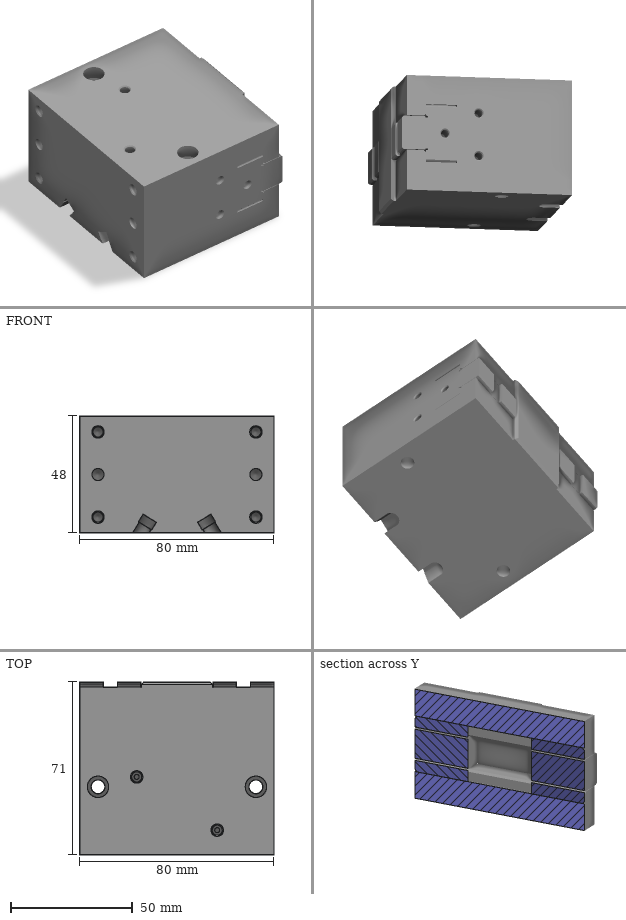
import cadquery as cq
import math


length_x = 80.0
height_z = 48.0
joint_y = 61.0
plate_top_y = 69.0
cover_seat_top_y = 69.4
top_y = 71.0

slot_floor_y = 48.0
slot_width = 24.2
plate_gap_width = 14.4
plate_gap_chamfer = 0.9

jaw_length = 25.1
neck_width = 13.9
neck_edge_chamfer = 0.6
flange_edge_chamfer = 0.8
flange_end_chamfer = 1.0
undercut_width = 1.1
undercut_depth = 0.5
undercut_overlap = 0.2
undercut_top_y = joint_y + undercut_overlap
key_groove_start = 9.8
key_groove_width = 5.8
jaw_hole_y = 53.0

cover_end_gap = 0.2
cover_length = length_x - 2 * (jaw_length + cover_end_gap)
cover_chamfer = 1.0

large_thread = 5.1
large_core = 4.2
small_thread = 4.2
small_core = 3.3
drill_point_angle = 118.0
thread_depth = 9.6

mount_hole_x = 32.5
mount_hole_z = 17.5
dowel_diameter = 5.0
dowel_depth = 8.0

through_hole_y = 28.0
through_hole_diameter = 5.6
counterbore_diameter = 8.8
counterbore_depth = 5.6

air_port_places = [(-16.6, 32.1), (16.6, 10.2)]
air_port_depth = 8.0
air_channel_diameter = 2.1
air_channel_depth = 6.4

side_hole_y = 39.0
side_hole_z = 9.0

sensor_end_x = 11.2
sensor_end_z = -18.0
sensor_tilt = 31.5
sensor_axis_y = 6.4
sensor_seat_width = 6.4
sensor_seat_length = 3.7
sensor_channel_width = 5.8
sensor_channel_length = 12.0


def box(x_range, y_range, z_range):
    """Box between the given limits on each axis."""
    size = [high - low for low, high in (x_range, y_range, z_range)]
    corner = (x_range[0], y_range[0], z_range[0])
    return cq.Workplane("XY").box(*size, centered=False).translate(corner)


def span(width):
    """Limits of a width centred on zero."""
    return (-width / 2, width / 2)


def cylinder(start, direction, diameter, depth):
    """Cylinder that runs from a point in the given direction."""
    rod = cq.Solid.makeCylinder(diameter / 2, depth, cq.Vector(*start), cq.Vector(*direction))
    return cq.Workplane(obj=rod)


def drilled_hole(start, direction, diameter, depth):
    """Blind hole with a conical drill point."""
    tip_length = diameter / 2 / math.tan(math.radians(drill_point_angle / 2))
    tip_start = cq.Vector(*start) + cq.Vector(*direction) * depth
    tip = cq.Solid.makeCone(diameter / 2, 0, tip_length, tip_start, cq.Vector(*direction))
    return cylinder(start, direction, diameter, depth).union(cq.Workplane(obj=tip))


def countersink(start, direction, mouth, core):
    """45 degree lead-in from the mouth diameter down to the core diameter."""
    lead = (mouth - core) / 2
    cone = cq.Solid.makeCone(mouth / 2, core / 2, lead, cq.Vector(*start), cq.Vector(*direction))
    return cq.Workplane(obj=cone)


def threaded_hole(start, direction, mouth, core):
    """Core hole of a blind thread with its lead-in."""
    hole = drilled_hole(start, direction, core, thread_depth)
    return hole.union(countersink(start, direction, mouth, core))


def cut_mounting_holes(block):
    """Four threads and two dowel holes in the mounting face."""
    for x in (-mount_hole_x, mount_hole_x):
        block = block.cut(drilled_hole((x, 0, 0), (0, 1, 0), dowel_diameter, dowel_depth))
        for z in (-mount_hole_z, mount_hole_z):
            block = block.cut(threaded_hole((x, 0, z), (0, 1, 0), large_thread, large_core))
    return block


def cut_through_holes(block):
    """Two counterbored screw holes along Z."""
    down = (0, 0, -1)
    for x in (-mount_hole_x, mount_hole_x):
        start = (x, through_hole_y, height_z / 2)
        block = block.cut(cylinder(start, down, through_hole_diameter, height_z))
        block = block.cut(cylinder(start, down, counterbore_diameter, counterbore_depth))
    return block


def cut_air_ports(block):
    """Two flat-bottomed ports, each leading into a thin channel."""
    down = (0, 0, -1)
    for x, y in air_port_places:
        start = (x, y, height_z / 2)
        block = block.cut(cylinder(start, down, large_core, air_port_depth))
        block = block.cut(countersink(start, down, large_thread, large_core))
        block = block.cut(cylinder(start, down, air_channel_diameter, air_port_depth + air_channel_depth))
    return block


def cut_side_holes(block):
    """Two threads in each end face."""
    for side in (-1, 1):
        for z in (-side_hole_z, side_hole_z):
            start = (side * length_x / 2, side_hole_y, z)
            block = block.cut(threaded_hole(start, (-side, 0, 0), small_thread, small_core))
    return block


def sensor_groove(width, length):
    """Round-bottomed groove hanging down from the origin, open towards -Y."""
    profile = cq.Workplane("XY").circle(width / 2).extrude(-length)
    return profile.union(box(span(width), (-sensor_axis_y, 0), (-length, 0)))


def cut_sensor_grooves(block):
    """Two stepped grooves that lean towards each other, wider at their closed ends."""
    groove = sensor_groove(sensor_seat_width, sensor_seat_length)
    groove = groove.union(sensor_groove(sensor_channel_width, sensor_channel_length))
    for side in (-1, 1):
        tilted = groove.rotate((0, 0, 0), (0, 1, 0), -side * sensor_tilt)
        block = block.cut(tilted.translate((side * sensor_end_x, sensor_axis_y, sensor_end_z)))
    return block


def make_main_block():
    """Block with the wide part of the T-slot and all housing holes."""
    block = box(span(length_x), (0, joint_y), span(height_z))
    block = block.cut(box(span(length_x), (slot_floor_y, joint_y), span(slot_width)))
    for cut_feature in (
        cut_mounting_holes,
        cut_through_holes,
        cut_air_ports,
        cut_side_holes,
        cut_sensor_grooves,
    ):
        block = cut_feature(block)
    return block


def make_guide_plate():
    """Plate whose chamfered gap is the narrow part of the T-slot."""
    half_gap = plate_gap_width / 2
    half_side = [
        (joint_y, half_gap + plate_gap_chamfer),
        (joint_y + plate_gap_chamfer, half_gap),
        (plate_top_y, half_gap),
        (plate_top_y, height_z / 2),
        (joint_y, height_z / 2),
    ]
    upper = cq.Workplane("YZ").polyline(half_side).close().extrude(length_x / 2, both=True)
    return upper.union(upper.mirror("XY"))


def make_cover():
    """Chamfered cover that bridges the plate gap between the jaws."""
    cover = box(span(cover_length), (cover_seat_top_y, top_y), span(height_z))
    return cover.faces(">Y").chamfer(cover_chamfer)


def make_housing():
    """Block, plate and cover as one solid, keeping the joint lines on its flush faces."""
    seat = box(span(cover_length), (plate_top_y, cover_seat_top_y), span(height_z))
    housing = make_main_block()
    for layer in (make_guide_plate(), seat, make_cover()):
        housing = housing.union(layer, clean=False)
    return housing


def make_jaw():
    """Jaw at the -X end of the guide."""
    outer_x = -length_x / 2
    inner_x = outer_x + jaw_length
    x_range = (outer_x, inner_x)

    flange = box(x_range, (slot_floor_y, joint_y), span(slot_width))
    flange = flange.faces("<Y").edges("|X").chamfer(flange_edge_chamfer)
    end_cut = (
        cq.Workplane("XZ")
        .moveTo(outer_x, slot_width / 2)
        .lineTo(outer_x + flange_end_chamfer, slot_width / 2)
        .lineTo(outer_x, slot_width / 2 - flange_end_chamfer)
        .close()
        .extrude(-top_y)
    )
    flange = flange.cut(end_cut).cut(end_cut.mirror("XY"))

    neck = box(x_range, (joint_y, top_y), span(neck_width))
    neck = neck.faces(">Y").edges("|X").chamfer(neck_edge_chamfer)
    jaw = flange.union(neck)

    undercut_range = (undercut_top_y - undercut_width, undercut_top_y)
    undercut = box(x_range, undercut_range, (neck_width / 2 - undercut_depth, plate_gap_width / 2))
    jaw = jaw.cut(undercut).cut(undercut.mirror("XY"))

    groove_x = outer_x + key_groove_start
    jaw = jaw.cut(box((groove_x, groove_x + key_groove_width), (plate_top_y, top_y), span(neck_width)))

    hole_start = (outer_x, jaw_hole_y, 0)
    return jaw.cut(threaded_hole(hole_start, (1, 0, 0), small_thread, small_core))


def make_jaws():
    """The two jaws, mirror images of each other."""
    left_jaw = make_jaw()
    return [left_jaw, left_jaw.mirror("YZ")]


housing = make_housing()
jaws = make_jaws()
result = cq.Compound.makeCompound([body.solids().val() for body in (housing, *jaws)])